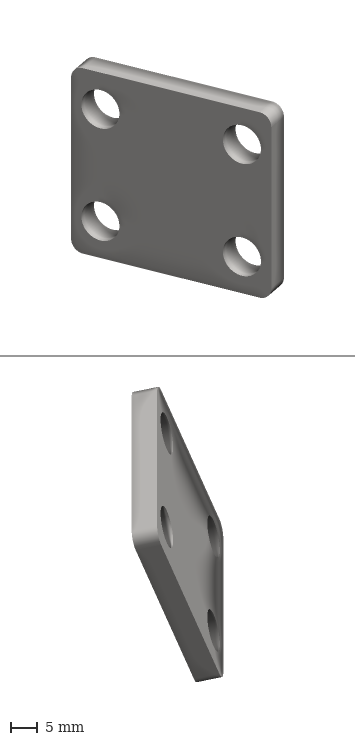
import cadquery as cq

width = 42.7
height = 39.2
thickness = 5.0
corner_radius = 2.5

hole_diameter = 8.1
hole_spacing_x = 30.2
hole_spacing_z = 23.7

plate = (
    cq.Workplane("XY")
    .box(width, thickness, height)
    .edges("|Y")
    .fillet(corner_radius)
)

result = (
    plate.faces("<Y")
    .workplane(centerOption="CenterOfBoundBox")
    .rect(hole_spacing_x, hole_spacing_z, forConstruction=True)
    .vertices()
    .hole(hole_diameter)
)